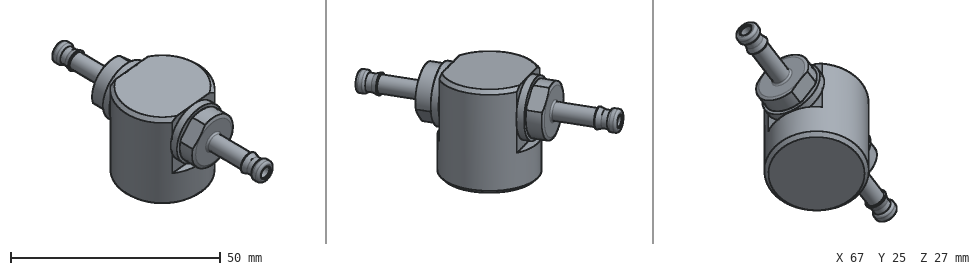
import cadquery as cq
import math


housing_diameter = 25.0
housing_height = 27.0
housing_chamfer = 1.0
flat_distance = 10.0
flat_height = 16.95

washer_diameter = 16.0
washer_thickness = 2.0

collar_diameter = 14.55
collar_length = 4.5
collar_chamfer_depth = 0.95
collar_chamfer_length = 0.3
collar_neck_length = 0.2
collar_neck_depth = 0.35
wrench_flat_width = 13.0
right_flat_angle = 48
left_flat_angle = 45

fitting_reach = 33.5
tube_radius = 2.35
root_fillet = 0.5
bead_radius = 2.95
bead_round = 0.75
bead_land = 1.0
barb_radius = 2.8
barb_start = 4.0
barb_length = 1.4
barb_land = 0.2

bore_radius = 1.5
bore_chamfer = 0.3

axis_height = housing_height - washer_diameter / 2
washer_face = flat_distance + washer_thickness
collar_face = washer_face + collar_length


def x_cylinder(start, length, radius):
    """Cylinder on the X axis."""
    return cq.Workplane("YZ", origin=(start, 0, 0)).circle(radius).extrude(length)


def arc_point(center_x, center_radius, radius, angle):
    """Point of an arc in the turning profile, its angle counted from +X towards larger radius."""
    return (center_x + radius * math.cos(angle), center_radius + radius * math.sin(angle))


def place_on_side(body, side_angle):
    """Turn a body built along +X on the X axis to its side of the housing and lift it to the port."""
    return body.rotate((0, 0, 0), (0, 0, 1), side_angle).translate((0, 0, axis_height))


def make_housing():
    """Chamfered cylinder with two seating flats and a cross bore."""
    body = cq.Workplane("XY").circle(housing_diameter / 2).extrude(housing_height)
    body = body.faces("<Z or >Z").chamfer(housing_chamfer)
    for side in (-1, 1):
        cutter = cq.Workplane("XY").box(
            housing_diameter, housing_diameter, flat_height, centered=(True, True, False)
        )
        cutter_x = side * (flat_distance + housing_diameter / 2)
        body = body.cut(cutter.translate((cutter_x, 0, housing_height - flat_height)))
    bore = x_cylinder(-flat_distance, 2 * flat_distance, bore_radius)
    return body.cut(bore.translate((0, 0, axis_height)))


def make_washer():
    """Flat ring lying against a seating flat."""
    ring = x_cylinder(flat_distance, washer_thickness, washer_diameter / 2)
    return ring.cut(x_cylinder(flat_distance, washer_thickness, bore_radius))


def make_collar(flat_angle):
    """Round collar with a chamfered outer end, a small neck and two wrench flats."""
    radius = collar_diameter / 2
    neck_radius = radius - collar_neck_depth
    profile = (
        cq.Workplane("XZ")
        .moveTo(washer_face, 0)
        .lineTo(washer_face, neck_radius)
        .lineTo(washer_face + collar_neck_length, radius)
        .lineTo(collar_face - collar_chamfer_length, radius)
        .lineTo(collar_face, radius - collar_chamfer_depth)
        .lineTo(collar_face, 0)
        .close()
    )
    collar = profile.revolve(360, (0, 0, 0), (1, 0, 0))
    wrench_block = (
        cq.Workplane("XY")
        .box(2 * collar_face, 2 * collar_diameter, wrench_flat_width)
        .rotate((0, 0, 0), (1, 0, 0), flat_angle)
    )
    return collar.intersect(wrench_block)


def make_tube():
    """Hose tail: rounded bead at the free end, one barb and a filleted root at the collar."""
    bead_start = fitting_reach - bead_round
    bead_end = bead_start - bead_land
    round_center = bead_radius - bead_round
    inner_stop = math.pi - math.asin((tube_radius - round_center) / bead_round)
    barb_tip = fitting_reach - barb_start
    barb_crest = barb_tip - barb_length
    barb_step = barb_crest - barb_land
    root_end = collar_face + root_fillet
    root_center = tube_radius + root_fillet
    profile = (
        cq.Workplane("XZ")
        .moveTo(fitting_reach, 0)
        .lineTo(fitting_reach, round_center)
        .threePointArc(
            arc_point(bead_start, round_center, bead_round, math.pi / 4),
            (bead_start, bead_radius),
        )
        .lineTo(bead_end, bead_radius)
        .threePointArc(
            arc_point(bead_end, round_center, bead_round, (math.pi / 2 + inner_stop) / 2),
            arc_point(bead_end, round_center, bead_round, inner_stop),
        )
        .lineTo(barb_tip, tube_radius)
        .lineTo(barb_crest, barb_radius)
        .lineTo(barb_step, barb_radius)
        .lineTo(barb_step, tube_radius)
        .lineTo(root_end, tube_radius)
        .threePointArc(
            arc_point(root_end, root_center, root_fillet, 5 * math.pi / 4),
            (collar_face, root_center),
        )
        .lineTo(collar_face, 0)
        .close()
    )
    return profile.revolve(360, (0, 0, 0), (1, 0, 0))


def make_fitting(flat_angle):
    """One-piece hose fitting: collar and tube with a bore, chamfered at the mouth."""
    fitting = make_collar(flat_angle).union(make_tube())
    fitting = fitting.cut(x_cylinder(washer_face, fitting_reach - washer_face, bore_radius))
    mouth_edge = cq.selectors.RadiusNthSelector(0)
    return fitting.faces(">X").edges(mouth_edge).chamfer(bore_chamfer)


housing = make_housing()
washers = []
fittings = []
for side_angle, flat_angle in ((0, right_flat_angle), (180, left_flat_angle)):
    washers.append(place_on_side(make_washer(), side_angle).val())
    fittings.append(place_on_side(make_fitting(flat_angle), side_angle).val())

result = cq.Compound.makeCompound([housing.val(), *washers, *fittings])